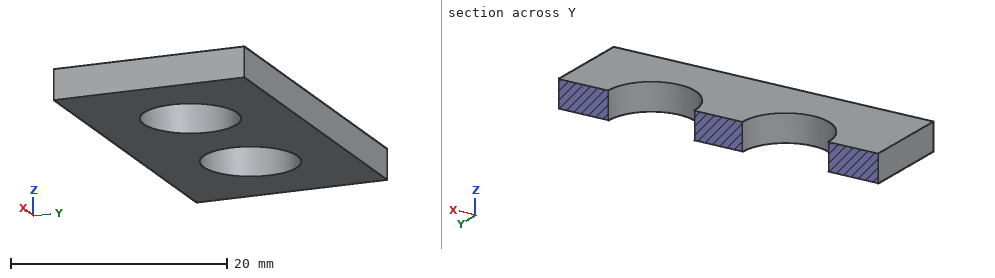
import cadquery as cq

plate_length = 35.05
plate_width = 19.05
plate_thickness = 3.0

hole_diameter = 9.4
hole_spacing = 14.7

hole_centers = [(-hole_spacing / 2, 0), (hole_spacing / 2, 0)]

plate = cq.Workplane("XY").box(
    plate_length, plate_width, plate_thickness, centered=(True, True, False)
)

result = plate.faces(">Z").workplane(origin=(0, 0, 0)).pushPoints(hole_centers).hole(hole_diameter)